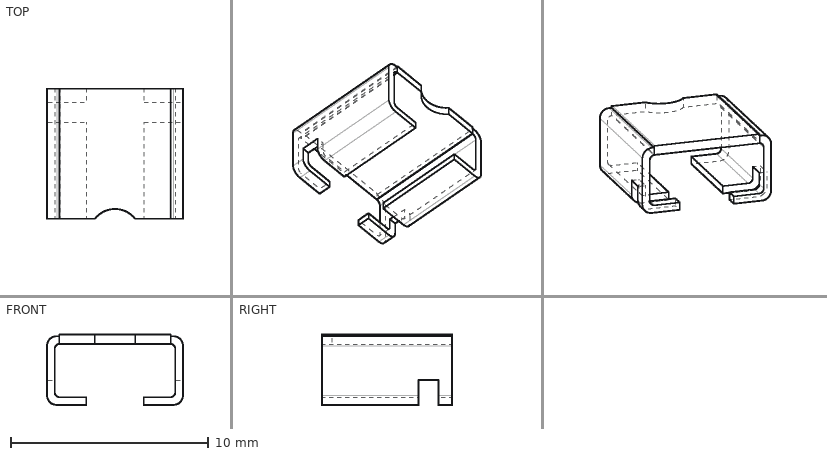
import cadquery as cq

width = 6.9
depth = 6.6
height = 3.58

sheet = 0.4
outer_radius = 0.5
inner_radius = 0.25
flange_reach = 0.62
lip_reach = 2.0

plate_thickness = 0.49
plate_edge_radius = 0.05
notch_radius = 1.3
notch_depth = 0.5

slot_setback = 0.7
slot_length = 1.0
slot_height = 1.26
slot_clearance = 0.07

plate_bottom = height - plate_thickness
channel_height = plate_bottom + sheet
plate_width = width - 2 * flange_reach
front_y = -depth / 2
back_y = depth / 2


def rectangular_bar(x_min, x_max, z_min, z_max):
    """Rectangular bar over the full depth, centred on Y = 0."""
    return (
        cq.Workplane("XY")
        .box(x_max - x_min, depth, z_max - z_min, centered=(False, True, False))
        .translate((x_min, 0, z_min))
    )


def make_plate():
    """Flat top plate with rounded long edges and an arc notch at the front."""
    blank = rectangular_bar(-plate_width / 2, plate_width / 2, plate_bottom, height)
    blank = blank.edges("|Y and >Z").fillet(plate_edge_radius)
    notch = (
        cq.Workplane("XY")
        .center(0, front_y + notch_depth - notch_radius)
        .circle(notch_radius)
        .extrude(height)
    )
    return blank.cut(notch)


def make_left_channel():
    """Bent side wall with a short top flange and a long bottom lip."""
    outer_x = -width / 2
    inner_x = outer_x + sheet
    flange_x = outer_x + flange_reach
    lip_x = outer_x + lip_reach

    envelope = rectangular_bar(outer_x, lip_x, 0, channel_height)
    envelope = envelope.edges("|Y and <X").fillet(outer_radius)
    cavity = rectangular_bar(inner_x, lip_x, sheet, plate_bottom)
    cavity = cavity.edges("|Y and <X").fillet(inner_radius)
    plate_space = rectangular_bar(flange_x, lip_x, plate_bottom, channel_height)
    return envelope.cut(cavity).cut(plate_space).cut(make_slot(outer_x))


def make_slot(outer_x):
    """Cutter for the slot through the wall and the whole lip."""
    slot_width = lip_reach + 2 * slot_clearance
    slot_end_y = back_y - slot_setback
    return (
        cq.Workplane("XY")
        .box(slot_width, slot_length, slot_height + slot_clearance, centered=False)
        .translate((outer_x - slot_clearance, slot_end_y - slot_length, -slot_clearance))
    )


def make_channel(side):
    """Side channel at -X (side = -1) or its mirror image at +X (side = 1)."""
    channel = make_left_channel()
    return channel if side < 0 else channel.mirror("YZ")


plate = make_plate()
channels = [make_channel(side) for side in (-1, 1)]

result = cq.Compound.makeCompound([plate.val(), *[channel.val() for channel in channels]])